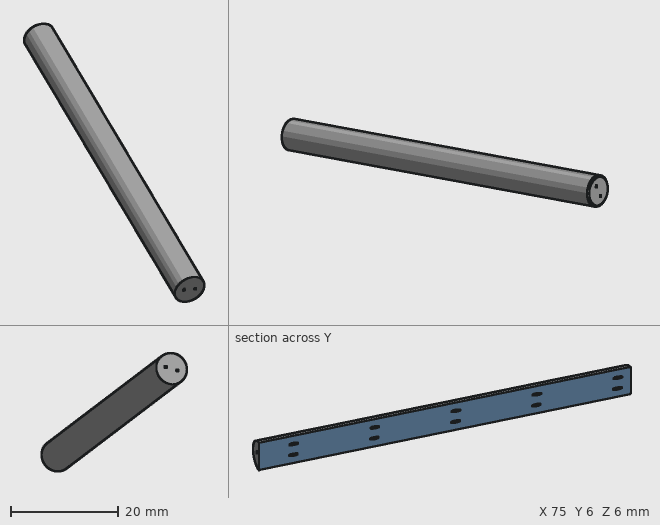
import cadquery as cq
import math

rod_length = 75.0
rod_diameter = 6.0
chamfer_size = 0.3

channel_diameter = 0.4
channel_circle_diameter = 2.3
channel_angle = 60.0
channel_count = 2

helix_angle = 30.0
helix_pitch = math.pi * rod_diameter / math.tan(math.radians(helix_angle))
twist_angle = 360 * rod_length / helix_pitch


def end_plane():
    """Workplane on the -X end, centred on the rod axis and facing +X."""
    return cq.Workplane("YZ", origin=(-rod_length / 2, 0, 0))


def make_rod():
    """Cylinder centred on the origin, chamfered at its -X end."""
    rod = end_plane().circle(rod_diameter / 2).extrude(rod_length)
    return rod.faces("<X").edges().chamfer(chamfer_size)


def make_channel(start_angle):
    """Round cutter that winds about the rod axis over the full rod length."""
    radius = channel_circle_diameter / 2
    start_y = radius * math.cos(math.radians(start_angle))
    start_z = radius * math.sin(math.radians(start_angle))
    return (
        end_plane()
        .moveTo(start_y, start_z)
        .circle(channel_diameter / 2)
        .twistExtrude(rod_length, twist_angle)
    )


result = make_rod()
for index in range(channel_count):
    result = result.cut(make_channel(channel_angle + index * 360 / channel_count))